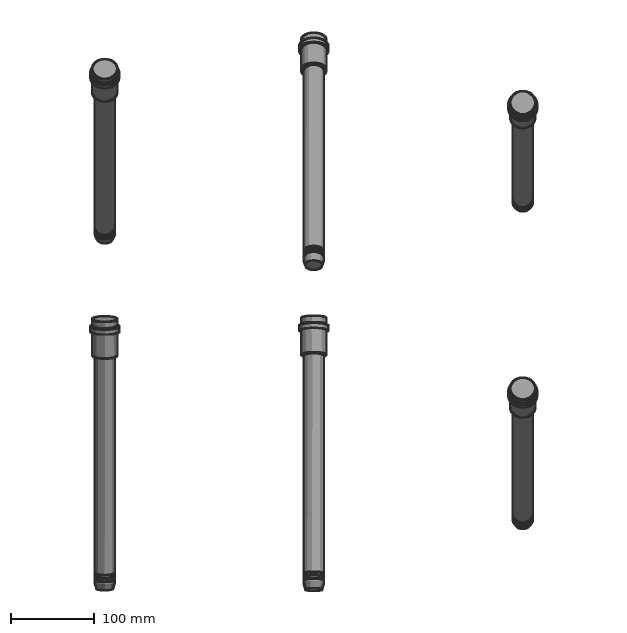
import cadquery as cq

length = 330.0
rod_diameter = 24.8
head_diameter = 30.7
collar_diameter = 35.0

collar_top = length - 9.5
collar_height = 6.0
head_bottom = length - 46.0
head_chamfer = 1.3
top_chamfer = 0.5

relief_height = 1.0
relief_gap = 0.5
relief_depth = 0.5

tip_height = 8.0
tip_diameter = 20.0

groove_count = 3
groove_pitch = 4.0
groove_width = 1.0
groove_depth = 0.3
first_groove_height = 11.2


def cylinder(diameter, bottom, top):
    """Solid cylinder on the Z axis between two levels."""
    return cq.Workplane("XY").workplane(offset=bottom).circle(diameter / 2).extrude(top - bottom)


def ring_cutter(diameter, depth, bottom, height):
    """Ring that cuts a groove of the given depth into a cylinder."""
    outer = cylinder(diameter + 2 * depth, bottom, bottom + height)
    inner = cylinder(diameter - 2 * depth, bottom, bottom + height)
    return outer.cut(inner)


def make_rod():
    """Round rod with a conical tip and ring grooves above it."""
    tip = (
        cq.Workplane("XY")
        .circle(tip_diameter / 2)
        .workplane(offset=tip_height)
        .circle(rod_diameter / 2)
        .loft()
    )
    rod = cylinder(rod_diameter, tip_height, head_bottom).union(tip)
    for index in range(groove_count):
        bottom = first_groove_height + index * groove_pitch - groove_width / 2
        rod = rod.cut(ring_cutter(rod_diameter, groove_depth, bottom, groove_width))
    return rod


def make_head():
    """Head with chamfered edges, a collar and a relief groove."""
    head = cylinder(head_diameter, head_bottom, length).faces("<Z").chamfer(head_chamfer)
    head = head.faces(">Z").chamfer(top_chamfer)
    collar = cylinder(collar_diameter, collar_top - collar_height, collar_top)
    relief = ring_cutter(head_diameter, relief_depth, collar_top + relief_gap, relief_height)
    return head.cut(relief).union(collar)


result = make_head().union(make_rod())